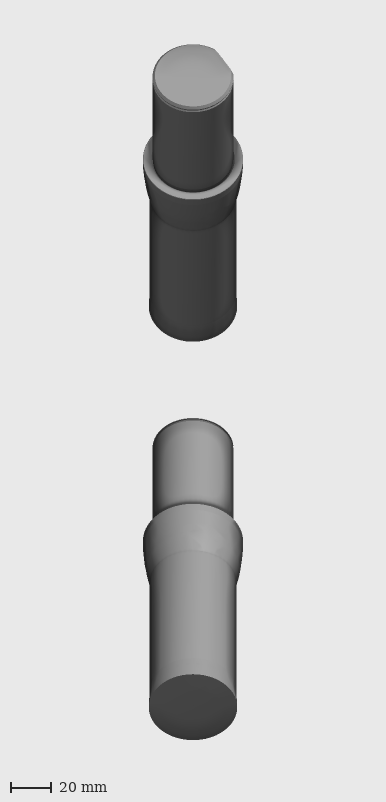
import cadquery as cq

TOTAL_HEIGHT = 194.0
COLLAR_DIAMETER = 49.5
COLLAR_TOP = 124.2
COLLAR_RIM_HEIGHT = 4.7
COLLAR_EDGE_CHAMFER = 0.2
COLLAR_TAPER_HEIGHT = 26.2
COLLAR_TAPER_BULGE = 0.5
GRIP_DIAMETER = 42.7
FOOT_DIAMETER = 43.6
FOOT_TOP = 13.5
FOOT_RIM_HEIGHT = 0.4
DOME_HEIGHT = 1.2
FOOT_BULGE = 0.04
SOCKET_MOUTH_DIAMETER = 41.1
SOCKET_CHAMFER = 0.8

PLUG_DIAMETER = 40.0
NECK_DIAMETER = 39.5
NECK_TOP = 125.1
NECK_CHAMFER_HEIGHT = 0.8
GROOVE_BOTTOM = 191.3
GROOVE_CHAMFER_HEIGHT = 0.5
GROOVE_TOP = 192.5
GROOVE_DIAMETER = 38.8
TOP_CHAMFER = 1.2
FLAT_DISTANCE = 17.8
FLAT_BOTTOM = 129.4

grip_radius = GRIP_DIAMETER / 2
collar_radius = COLLAR_DIAMETER / 2
foot_radius = FOOT_DIAMETER / 2
plug_radius = PLUG_DIAMETER / 2
neck_radius = NECK_DIAMETER / 2
groove_radius = GROOVE_DIAMETER / 2
socket_mouth_radius = SOCKET_MOUTH_DIAMETER / 2
socket_floor = COLLAR_TOP - SOCKET_CHAMFER


def bowed_midpoint(start, end, bulge):
    """Midpoint of a profile stretch, moved radially by the bulge."""
    return ((start[0] + end[0]) / 2 + bulge, (start[1] + end[1]) / 2)


def revolve_profile(profile):
    """Turn a closed (radius, height) profile around the Z axis."""
    return profile.close().revolve(360, (0, 0, 0), (0, 1, 0))


def make_handle():
    """Grip with a domed foot and a shallow conical socket in its collar."""
    foot_edge = (foot_radius, DOME_HEIGHT + FOOT_RIM_HEIGHT)
    dome_midpoint = (foot_radius / 2, DOME_HEIGHT / 4)
    foot_end = (grip_radius, FOOT_TOP)
    taper_start = (grip_radius, COLLAR_TOP - COLLAR_RIM_HEIGHT - COLLAR_TAPER_HEIGHT)
    taper_end = (collar_radius, COLLAR_TOP - COLLAR_RIM_HEIGHT)
    profile = (
        cq.Workplane("XZ")
        .moveTo(0, 0)
        .threePointArc(dome_midpoint, (foot_radius, DOME_HEIGHT))
        .lineTo(*foot_edge)
        .threePointArc(bowed_midpoint(foot_edge, foot_end, FOOT_BULGE), foot_end)
        .lineTo(*taper_start)
        .threePointArc(bowed_midpoint(taper_start, taper_end, COLLAR_TAPER_BULGE), taper_end)
        .lineTo(collar_radius, COLLAR_TOP - COLLAR_EDGE_CHAMFER)
        .lineTo(collar_radius - COLLAR_EDGE_CHAMFER, COLLAR_TOP)
        .lineTo(socket_mouth_radius, COLLAR_TOP)
        .lineTo(neck_radius, socket_floor)
        .lineTo(0, socket_floor)
    )
    return revolve_profile(profile)


def make_plug():
    """Grooved shaft with a narrow neck and one flat ending in a sloped run-out."""
    profile = (
        cq.Workplane("XZ")
        .moveTo(0, socket_floor)
        .lineTo(neck_radius, socket_floor)
        .lineTo(neck_radius, NECK_TOP)
        .lineTo(plug_radius, NECK_TOP + NECK_CHAMFER_HEIGHT)
        .lineTo(plug_radius, GROOVE_BOTTOM - GROOVE_CHAMFER_HEIGHT)
        .lineTo(groove_radius, GROOVE_BOTTOM)
        .lineTo(groove_radius, GROOVE_TOP)
        .lineTo(plug_radius, GROOVE_TOP)
        .lineTo(plug_radius, TOTAL_HEIGHT - TOP_CHAMFER)
        .lineTo(plug_radius - TOP_CHAMFER, TOTAL_HEIGHT)
        .lineTo(0, TOTAL_HEIGHT)
    )
    return revolve_profile(profile).cut(make_flat_cutter())


def make_flat_cutter():
    """Material removed for the flat, with a 45 degree slope at its lower end."""
    flat_depth = plug_radius - FLAT_DISTANCE
    return (
        cq.Workplane("YZ")
        .moveTo(FLAT_DISTANCE, TOTAL_HEIGHT)
        .lineTo(FLAT_DISTANCE, FLAT_BOTTOM)
        .lineTo(plug_radius, FLAT_BOTTOM - flat_depth)
        .lineTo(plug_radius, TOTAL_HEIGHT)
        .close()
        .extrude(plug_radius, both=True)
    )


handle = make_handle()
plug = make_plug()
result = cq.Compound.makeCompound([handle.val(), plug.val()])